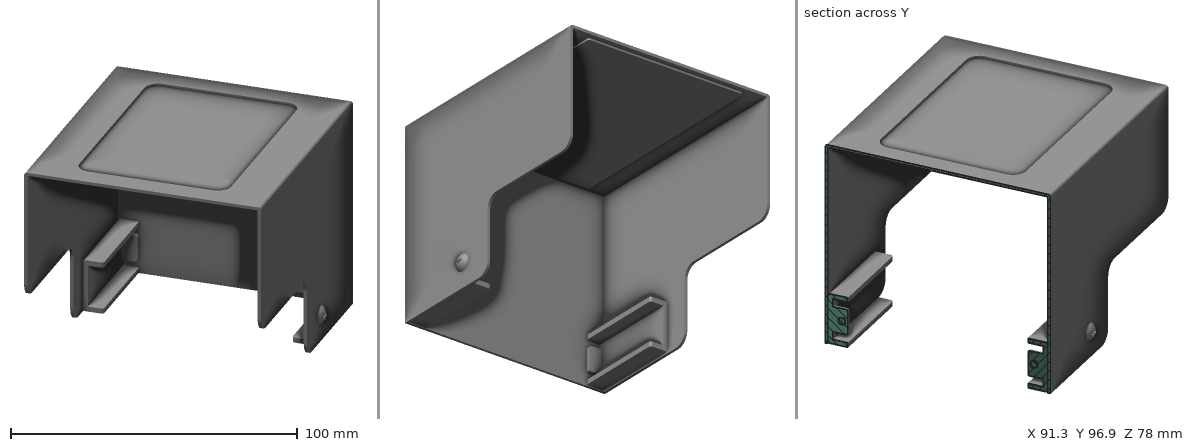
import cadquery as cq
import math

overall_width = 91.3
cover_height = 78.0
overall_depth = 96.9
cover_sheet = 1.2
leg_depth = 47.5
step_height = 29.9
wall_corner_radius = 5.0

window_side_margin = 14.5
window_end_margin = 8.2
window_corner_radius = 5.0
panel_overlap = 5.8
panel_thickness = 0.8
panel_corner_radius = 1.2

bracket_sheet = 1.9
bracket_length = 36.8
bracket_height = 19.6
bracket_lift = 0.3
bracket_reach = 7.75
bracket_bend_radius = 1.0
bracket_corner_radius = 1.0
tab_height = 10.1

head_diameter = 7.0
head_height = 1.8
shank_diameter = 2.5
recess_length = 3.3
recess_width = 0.8
recess_depth = 1.0
screw_height = bracket_lift + bracket_height / 2
side_screw_setback = 33.0
back_screw_x = 37.3

cover_width = overall_width - 2 * head_height
cover_depth = overall_depth - head_height
inner_half_width = cover_width / 2 - cover_sheet
inner_back = cover_depth - cover_sheet
inner_top = cover_height - cover_sheet
window_width = 2 * (inner_half_width - window_side_margin)
window_depth = inner_back - 2 * window_end_margin
window_y = inner_back / 2
grip_length = cover_sheet + bracket_sheet
side_screw_y = cover_depth - side_screw_setback


def block(x_range, y_range, z_range):
    """Box between the given limits."""
    (x0, x1), (y0, y1), (z0, z1) = x_range, y_range, z_range
    return cq.Workplane("XY").box(x1 - x0, y1 - y0, z1 - z0, centered=False).translate((x0, y0, z0))


def rounded_plate(width, depth, thickness, radius, bottom):
    """Horizontal plate with rounded corners, centred on the window."""
    plate = cq.Workplane("XY").box(width, depth, thickness, centered=(True, True, False))
    return plate.edges("|Z").fillet(radius).translate((0, window_y, bottom))


def make_screw():
    """Round-head screw along Z: head base at Z = 0, shank reaching down.

    The dome passes the head height at the inner corners of the cross recess,
    which are the highest points left once the recess is cut.
    """
    head_radius = head_diameter / 2
    crown_radius = recess_width / math.sqrt(2)
    dome_center_z = (head_height**2 + crown_radius**2 - head_radius**2) / (2 * head_height)
    dome_radius = math.hypot(head_radius, dome_center_z)
    middle_angle = math.atan2(head_radius, -dome_center_z) / 2
    dome_top = (0, dome_center_z + dome_radius)
    dome_middle = (
        dome_radius * math.sin(middle_angle),
        dome_center_z + dome_radius * math.cos(middle_angle),
    )
    shank_radius = shank_diameter / 2
    screw = (
        cq.Workplane("XZ")
        .moveTo(*dome_top)
        .threePointArc(dome_middle, (head_radius, 0))
        .lineTo(shank_radius, 0)
        .lineTo(shank_radius, -grip_length)
        .lineTo(0, -grip_length)
        .close()
        .revolve(360, (0, 0, 0), (0, 1, 0))
    )
    for length_x, length_y in ((recess_length, recess_width), (recess_width, recess_length)):
        slot = cq.Workplane("XY").box(length_x, length_y, 2 * recess_depth)
        screw = screw.cut(slot.translate((0, 0, head_height)))
    return screw


def place_screws():
    """One screw in each side wall and two in the back wall."""
    screw = make_screw()
    placed = []
    for side in (-1, 1):
        side_screw = screw.rotate((0, 0, 0), (0, 1, 0), 90 * side)
        placed.append(side_screw.translate((side * cover_width / 2, side_screw_y, screw_height)))
        back_screw = screw.rotate((0, 0, 0), (1, 0, 0), -90)
        placed.append(back_screw.translate((side * back_screw_x, cover_depth, screw_height)))
    return placed


def drill_screw_holes(body):
    """Cut the holes for all four screw shanks."""
    side_holes = (
        cq.Workplane("YZ")
        .center(side_screw_y, screw_height)
        .circle(shank_diameter / 2)
        .extrude(cover_width / 2, both=True)
    )
    back_holes = (
        cq.Workplane("XZ", origin=(0, cover_depth, screw_height))
        .pushPoints([(-back_screw_x, 0), (back_screw_x, 0)])
        .circle(shank_diameter / 2)
        .extrude(grip_length)
    )
    return body.cut(side_holes).cut(back_holes)


def make_cover():
    """Bent sheet cover: top, back and two stepped side walls."""
    half_width = cover_width / 2
    shell = block((-half_width, half_width), (0, cover_depth), (0, cover_height))
    shell = shell.faces(">Z").edges("not <Y").fillet(cover_sheet)
    shell = shell.cut(block((-inner_half_width, inner_half_width), (0, inner_back), (0, inner_top)))

    leg_front = cover_depth - leg_depth
    wall_profile = (
        cq.Workplane("YZ")
        .moveTo(0, cover_height)
        .lineTo(0, step_height)
        .lineTo(leg_front, step_height)
        .lineTo(leg_front, 0)
        .lineTo(cover_depth, 0)
        .lineTo(cover_depth, cover_height)
        .close()
        .extrude(half_width, both=True)
    )
    front_corners = cq.selectors.BoxSelector(
        (-cover_width, -cover_sheet, -cover_sheet),
        (cover_width, leg_front + cover_sheet, step_height + cover_sheet),
    )
    wall_profile = wall_profile.edges("|X").edges(front_corners).fillet(wall_corner_radius)
    shell = shell.intersect(wall_profile)

    window = rounded_plate(window_width, window_depth, cover_sheet, window_corner_radius, inner_top)
    return drill_screw_holes(shell.cut(window))


def make_panel():
    """Panel lying against the underside of the top, behind the window."""
    return rounded_plate(
        window_width + 2 * panel_overlap,
        window_depth + 2 * panel_overlap,
        panel_thickness,
        panel_corner_radius,
        inner_top - panel_thickness,
    )


def make_bracket(side):
    """Channel bracket in a lower back corner, on the -X (-1) or +X (+1) side."""
    outer_x = -inner_half_width
    x_range = (outer_x, outer_x + bracket_reach)
    y_range = (inner_back - bracket_length, inner_back)
    z_range = (bracket_lift, bracket_lift + bracket_height)
    hollow_z = (z_range[0] + bracket_sheet, z_range[1] - bracket_sheet)
    channel = block(x_range, y_range, z_range).edges("|Y and <X").fillet(bracket_bend_radius)
    channel = channel.cut(block((outer_x + bracket_sheet, x_range[1]), y_range, hollow_z))
    channel = channel.edges("|Z and >X").fillet(bracket_corner_radius)

    tab_z = (screw_height - tab_height / 2, screw_height + tab_height / 2)
    tab = block(x_range, (inner_back - bracket_sheet, inner_back), tab_z)
    tab = tab.edges("|Y and >X").fillet(bracket_corner_radius)
    bracket = channel.union(tab)
    if side > 0:
        bracket = bracket.mirror("YZ")
    return drill_screw_holes(bracket)


cover = make_cover()
panel = make_panel()
brackets = [make_bracket(side) for side in (-1, 1)]
screws = place_screws()

result = cq.Compound.makeCompound([body.val() for body in (cover, panel, *brackets, *screws)])